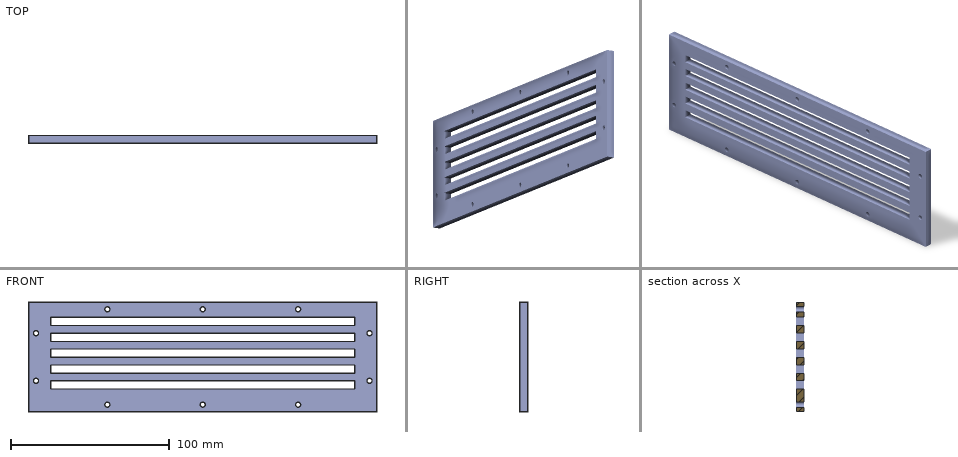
import cadquery as cq

length = 219.0
thickness = 5.0
height = 69.0

hole_diameter = 3.0
edge_hole_pitch_x = 60.0
edge_hole_z = 30.0
end_hole_x = 105.0
end_hole_z = edge_hole_z / 2

slot_count = 5
slot_length = 191.0
slot_height = 5.0
slot_pitch = edge_hole_z / 3
slot_stack_center_z = 2.5


def slot_centers():
    lowest_z = slot_stack_center_z - slot_pitch * (slot_count - 1) / 2
    return [(0, lowest_z + i * slot_pitch) for i in range(slot_count)]


def hole_centers():
    edge_holes = [
        (column * edge_hole_pitch_x, side * edge_hole_z)
        for column in (-1, 0, 1)
        for side in (-1, 1)
    ]
    end_holes = [(end * end_hole_x, side * end_hole_z) for end in (-1, 1) for side in (-1, 1)]
    return edge_holes + end_holes


plate = cq.Workplane("XY").box(length, thickness, height)

slots = (
    cq.Workplane("XZ")
    .pushPoints(slot_centers())
    .rect(slot_length, slot_height)
    .extrude(thickness, both=True)
)
holes = (
    cq.Workplane("XZ")
    .pushPoints(hole_centers())
    .circle(hole_diameter / 2)
    .extrude(thickness, both=True)
)

result = plate.cut(slots).cut(holes)